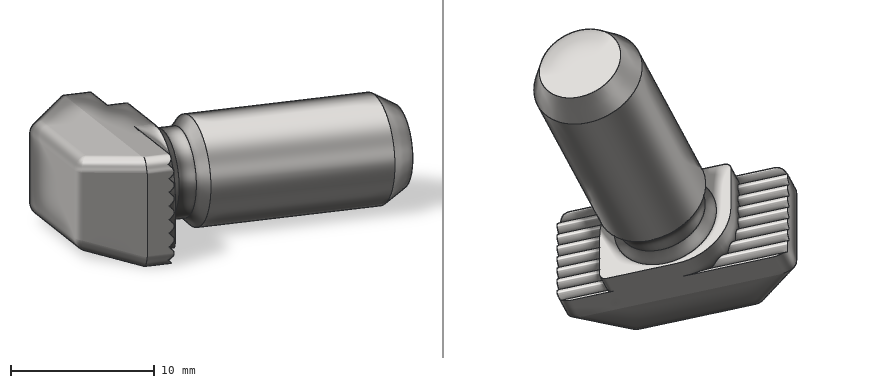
import cadquery as cq
import math


total_length = 25.8
thickness = 8
radius = thickness / 2

head_width = 17.0
head_height = 5.8
taper_height = 3.8
end_taper = 45
side_taper = 10
head_fillet = 1.0

tooth_count = 8
tooth_pitch = thickness / tooth_count
tooth_depth = 0.35
tooth_angle = 45

neck_width = 9.68
neck_top = 7.3
neck_corner_radius = 0.5

flare_top = 8.2
flare_angle = 30
groove_radius = 3.25
groove_top = 9.5
thread_start = 10.3
tip_length = 1.73
tip_angle = 30


def make_head():
    """Straight block cut to a tapered block, each with rounded edges of the same radius."""
    half_width = head_width / 2
    end_slope = math.tan(math.radians(end_taper))
    side_slope = math.tan(math.radians(side_taper))
    end_bottom = half_width - taper_height * end_slope
    end_top = end_bottom + head_height * end_slope
    side_bottom = radius - taper_height * side_slope
    side_top = side_bottom + head_height * side_slope

    straight_block = (
        cq.Workplane("XZ")
        .rect(head_width, thickness)
        .extrude(-head_height)
        .edges("|Y")
        .fillet(head_fillet)
    )
    end_wedge = (
        cq.Workplane("XY")
        .polyline([(-end_bottom, 0), (end_bottom, 0), (end_top, head_height), (-end_top, head_height)])
        .close()
        .extrude(side_top, both=True)
    )
    side_wedge = (
        cq.Workplane("YZ")
        .polyline([(0, -side_bottom), (0, side_bottom), (head_height, side_top), (head_height, -side_top)])
        .close()
        .extrude(end_top, both=True)
    )
    tapered_block = end_wedge.intersect(side_wedge).edges("not(>Y)").fillet(head_fillet)
    return straight_block.intersect(tapered_block)


def make_serration():
    """Cutter for grooves along X, with sharp roots and round crests tangent to the flanks."""
    slope = math.radians(tooth_angle)
    sharp_depth = tooth_pitch / 2 * math.tan(slope)
    crest_radius = (sharp_depth - tooth_depth) / (1 / math.cos(slope) - 1)
    root_level = head_height - tooth_depth
    clearance_level = head_height + tooth_depth

    def crest_point(crest_z, angle):
        """Point on a round crest, at an angle from its highest point."""
        drop = crest_radius * (1 - math.cos(angle))
        return head_height - drop, crest_z + crest_radius * math.sin(angle)

    outline = cq.Workplane("YZ").moveTo(head_height, -radius)
    for index in range(tooth_count):
        crest_z = -radius + index * tooth_pitch
        next_crest_z = crest_z + tooth_pitch
        outline = (
            outline
            .threePointArc(crest_point(crest_z, slope / 2), crest_point(crest_z, slope))
            .lineTo(root_level, crest_z + tooth_pitch / 2)
            .lineTo(*crest_point(next_crest_z, -slope))
            .threePointArc(crest_point(next_crest_z, -slope / 2), (head_height, next_crest_z))
        )
    return (
        outline
        .lineTo(clearance_level, radius)
        .lineTo(clearance_level, -radius)
        .close()
        .extrude(head_width / 2, both=True)
    )


def make_neck():
    """Quarter-turn block: two opposite corners fully rounded, two with a small radius."""
    half_width = neck_width / 2
    flat_end = half_width - radius
    corner_x = half_width - neck_corner_radius
    corner_z = radius - neck_corner_radius
    root_level = head_height - tooth_depth
    return (
        cq.Workplane("XZ", origin=(0, neck_top, 0))
        .moveTo(-corner_x, radius)
        .lineTo(flat_end, radius)
        .radiusArc((half_width, 0), radius)
        .lineTo(half_width, -corner_z)
        .radiusArc((corner_x, -radius), neck_corner_radius)
        .lineTo(-flat_end, -radius)
        .radiusArc((-half_width, 0), radius)
        .lineTo(-half_width, corner_z)
        .radiusArc((-corner_x, radius), neck_corner_radius)
        .close()
        .extrude(neck_top - root_level)
    )


def make_shank():
    """Round shank with a chamfered tip and a relief groove above the neck."""
    flare_radius = groove_radius + (flare_top - neck_top) * math.tan(math.radians(flare_angle))
    tip_radius = radius - tip_length * math.tan(math.radians(tip_angle))
    return (
        cq.Workplane("XY")
        .moveTo(0, head_height)
        .lineTo(flare_radius, head_height)
        .lineTo(flare_radius, neck_top)
        .lineTo(groove_radius, flare_top)
        .lineTo(groove_radius, groove_top)
        .lineTo(radius, thread_start)
        .lineTo(radius, total_length - tip_length)
        .lineTo(tip_radius, total_length)
        .lineTo(0, total_length)
        .close()
        .revolve(360, (0, 0, 0), (0, 1, 0))
    )


result = make_head().cut(make_serration()).union(make_neck()).union(make_shank())